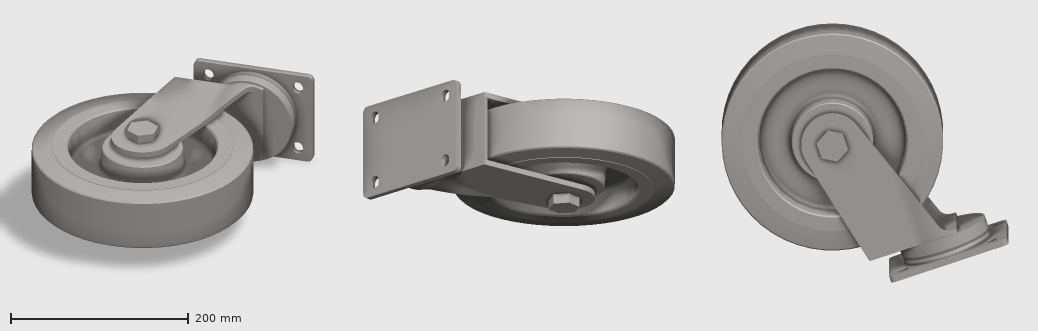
import cadquery as cq
import math


wheel_radius = 250.0 / 2
rim_radius = 203.3 / 2
tread_half_width = 29.8
tread_inner_half_width = 32.5
tread_chamfer = 1.5
rim_half_width = 33.0
web_half_width = 6.0
recess_mouth_radius = 84.0
recess_floor_radius = 81.0
recess_chamfer = 1.8
hub_half_width = 31.0
hub_top_radius = 45.7
hub_foot_radius = 47.8
hub_chamfer = 1.2
web_fillet = 5.3

axle_radius = 25.0 / 2
hex_across_flats = 31.3

overall_length = 295.0
plate_length = 139.5
plate_width = 110.0
plate_thickness = 7.5
plate_corner_radius = 6.0
slot_width = 11.8
slot_length = 14.2
slot_pitch_x = 105.0
slot_pitch_z = 78.0
plate_right = 277.0 - wheel_radius
plate_top = overall_length - wheel_radius
plate_bottom = plate_top - plate_thickness
swivel_x = plate_right - plate_length / 2

collar_radius = 103.0 / 2
groove_top = plate_bottom - 2.0
groove_width = 6.5
groove_depth = 1.8

fork_top = 140.5
base_thickness = 5.0
leg_thickness = 6.2
leg_outer_z = 43.7
leg_end_radius = 35.0
fork_left = -3.2
fork_right = 101.5
leg_corner_x = 86.7
leg_corner_fillet = 11.8
bend_start_x = 53.0
bulge_radius = 49.3


def tangent_point(x, y, radius, side):
    """Point where a line from (x, y) touches an origin-centred circle; side -1 is left, +1 right."""
    angle = math.atan2(y, x) - side * math.acos(radius / math.hypot(x, y))
    return radius * math.cos(angle), radius * math.sin(angle)


def make_wheel():
    """Revolve half the wheel section, round the web corners and mirror it about the mid plane."""
    half_section = (
        cq.Workplane("XY")
        .moveTo(0, 0)
        .lineTo(wheel_radius, 0)
        .lineTo(wheel_radius, tread_half_width - tread_chamfer)
        .lineTo(wheel_radius - tread_chamfer, tread_half_width)
        .lineTo(rim_radius, tread_inner_half_width)
        .lineTo(rim_radius, rim_half_width)
        .lineTo(recess_mouth_radius + recess_chamfer, rim_half_width)
        .lineTo(recess_mouth_radius, rim_half_width - recess_chamfer)
        .lineTo(recess_floor_radius, web_half_width)
        .lineTo(hub_foot_radius, web_half_width)
        .lineTo(hub_top_radius, hub_half_width - hub_chamfer)
        .lineTo(hub_top_radius - hub_chamfer, hub_half_width)
        .lineTo(0, hub_half_width)
        .close()
    )
    half = half_section.revolve(360, (0, 0, 0), (0, 1, 0)).rotate((0, 0, 0), (1, 0, 0), 90)
    web_corners = half.edges().filter(lambda edge: math.isclose(edge.Center().z, web_half_width))
    half = web_corners.fillet(web_fillet)
    return half.union(half.mirror("XY"))


def make_axle():
    """Round axle with a hexagonal head at each end, hexagon corners pointing along Y."""
    axle = cq.Workplane("XY").circle(axle_radius).extrude(leg_outer_z, both=True)
    head_height = plate_width / 2 - leg_outer_z
    corner_diameter = hex_across_flats / math.cos(math.pi / 6)
    head = (
        cq.Workplane("XY", origin=(0, 0, leg_outer_z))
        .transformed(rotate=(0, 0, 90))
        .polygon(6, corner_diameter)
        .extrude(head_height)
    )
    return axle.union(head).union(head.mirror("XY"))


def make_plate():
    """Rounded plate with four slots elongated along Z."""
    plate = (
        cq.Workplane("XZ", origin=(swivel_x, plate_top, 0))
        .rect(plate_length, plate_width)
        .extrude(plate_thickness)
        .edges("|Y")
        .fillet(plate_corner_radius)
    )
    slots = (
        cq.Workplane("XZ", origin=(swivel_x, plate_top, 0))
        .rect(slot_pitch_x, slot_pitch_z, forConstruction=True)
        .vertices()
        .slot2D(slot_length, slot_width, 90)
        .extrude(plate_thickness)
    )
    return plate.cut(slots)


def make_collar():
    """Swivel bearing housing with a V groove below the plate."""
    section = (
        cq.Workplane("XY")
        .moveTo(0, fork_top)
        .lineTo(collar_radius, fork_top)
        .lineTo(collar_radius, groove_top - groove_width)
        .lineTo(collar_radius - groove_depth, groove_top - groove_width / 2)
        .lineTo(collar_radius, groove_top)
        .lineTo(collar_radius, plate_bottom)
        .lineTo(0, plate_bottom)
        .close()
    )
    return section.revolve(360, (0, 0, 0), (0, 1, 0)).translate((swivel_x, 0, 0))


def bent_edge(face_z, arc_radius, blend_radius):
    """End of the blend and end of the bulge arc for one face of a leg."""
    blend_centre_z = face_z + blend_radius
    share = arc_radius / (arc_radius + blend_radius)
    blend_end = (swivel_x + share * (bend_start_x - swivel_x), share * blend_centre_z)
    arc_end = (fork_right, math.sqrt(arc_radius**2 - (fork_right - swivel_x) ** 2))
    return blend_end, arc_end


def make_fork():
    """Two bent legs cut to their side outline, joined by a flat base under the collar."""
    bend_run = swivel_x - bend_start_x
    outer_blend = (bend_run**2 + leg_outer_z**2 - bulge_radius**2) / (2 * (bulge_radius - leg_outer_z))
    inner_blend = outer_blend + leg_thickness
    leg_inner_z = leg_outer_z - leg_thickness
    inner_bulge = bulge_radius - leg_thickness
    outer_blend_end, outer_end = bent_edge(leg_outer_z, bulge_radius, outer_blend)
    inner_blend_end, inner_end = bent_edge(leg_inner_z, inner_bulge, inner_blend)

    leg = (
        cq.Workplane("XZ", origin=(0, fork_top, 0))
        .moveTo(-leg_end_radius, leg_outer_z)
        .lineTo(bend_start_x, leg_outer_z)
        .radiusArc(outer_blend_end, -outer_blend)
        .radiusArc(outer_end, bulge_radius)
        .lineTo(*inner_end)
        .radiusArc(inner_blend_end, -inner_bulge)
        .radiusArc((bend_start_x, leg_inner_z), inner_blend)
        .lineTo(-leg_end_radius, leg_inner_z)
        .close()
        .extrude(fork_top + leg_end_radius)
    )
    base_bottom = fork_top - base_thickness
    outline = (
        cq.Workplane("XY", origin=(0, 0, -bulge_radius))
        .moveTo(fork_left, fork_top)
        .lineTo(fork_right, fork_top)
        .lineTo(fork_right, base_bottom)
        .lineTo(leg_corner_x, base_bottom)
        .lineTo(*tangent_point(leg_corner_x, base_bottom, leg_end_radius, 1))
        .threePointArc((0, -leg_end_radius), tangent_point(fork_left, fork_top, leg_end_radius, -1))
        .close()
        .extrude(2 * bulge_radius)
        .edges(cq.selectors.NearestToPointSelector((leg_corner_x, base_bottom, 0)))
        .fillet(leg_corner_fillet)
    )
    leg = leg.intersect(outline)
    base = (
        cq.Workplane("XZ", origin=(0, fork_top, 0))
        .moveTo(fork_left, -leg_outer_z)
        .lineTo(bend_start_x, -leg_outer_z)
        .radiusArc((outer_blend_end[0], -outer_blend_end[1]), outer_blend)
        .radiusArc((outer_end[0], -outer_end[1]), -bulge_radius)
        .lineTo(*outer_end)
        .radiusArc(outer_blend_end, -bulge_radius)
        .radiusArc((bend_start_x, leg_outer_z), outer_blend)
        .lineTo(fork_left, leg_outer_z)
        .close()
        .extrude(base_thickness)
    )
    return base.union(leg).union(leg.mirror("XY"))


result = make_wheel().union(make_axle()).union(make_fork()).union(make_collar()).union(make_plate())